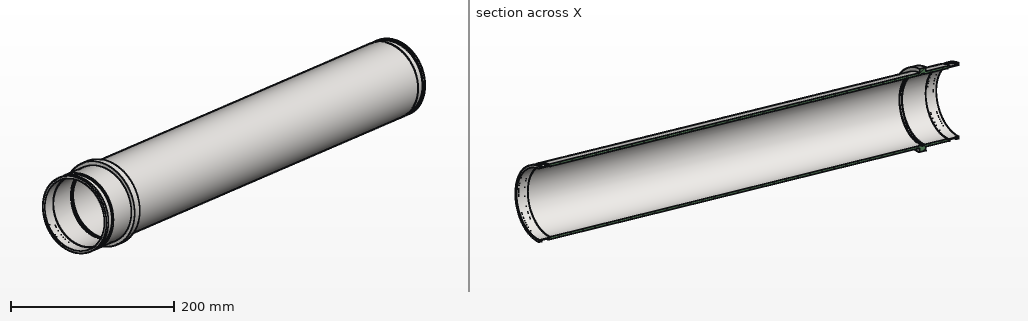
import cadquery as cq

length = 640.0
tube_diameter = 98.5
bore_diameter = 91.0

collar_diameter = 109.0
collar_width = 10.0
collar_setback = 50.0

groove_diameter = 95.5
lip_width = 4.0
groove_width = 9.0
shoulder_width = 1.0

mouth_diameter = 92.0
mouth_depth = 16.5

seal_groove_diameter = 93.5
seal_groove_width = 4.0
seal_groove_setback = 52.5

front_y = -length / 2


def cylinder(diameter, start_y, width):
    """Solid cylinder around the Y axis, running from start_y towards +Y."""
    plane = cq.Plane(origin=(0, start_y, 0), xDir=(1, 0, 0), normal=(0, 1, 0))
    return cq.Workplane(plane).circle(diameter / 2).extrude(width)


def coupling_groove():
    """Ring removed near the front end, with a sloping shoulder on its inner side."""
    groove_radius = groove_diameter / 2
    tube_radius = tube_diameter / 2
    start_y = front_y + lip_width
    floor_end_y = start_y + groove_width
    section = cq.Workplane("XY").polyline([
        (groove_radius, start_y),
        (groove_radius, floor_end_y),
        (tube_radius, floor_end_y + shoulder_width),
        (tube_radius, start_y),
    ]).close()
    return section.revolve(360, (0, 0, 0), (0, 1, 0))


result = cylinder(tube_diameter, front_y, length)
result = result.union(cylinder(collar_diameter, front_y + collar_setback, collar_width))

result = result.cut(cylinder(bore_diameter, front_y, length))

end_cutters = [coupling_groove(), cylinder(mouth_diameter, front_y, mouth_depth)]
for cutter in end_cutters:
    result = result.cut(cutter)
    result = result.cut(cutter.mirror("XZ"))

result = result.cut(cylinder(seal_groove_diameter, front_y + seal_groove_setback, seal_groove_width))